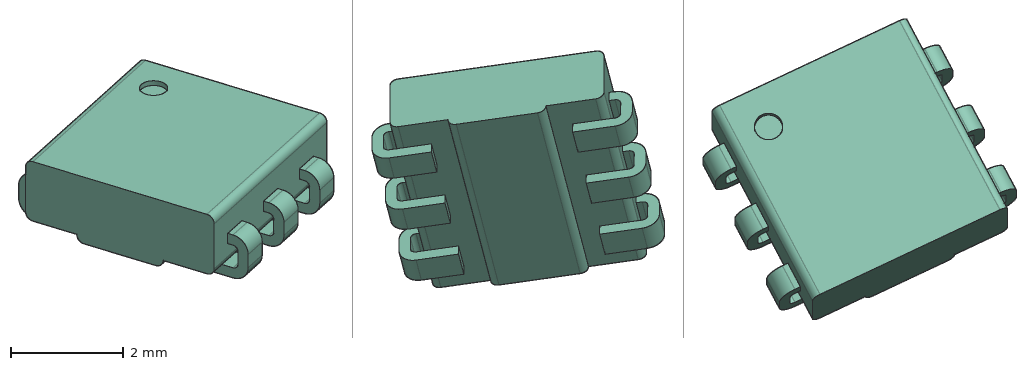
import cadquery as cq

overall_width = 4.72
overall_height = 1.5

housing_width = 3.88
housing_length = 4.0
housing_base = 0.26
edge_radius = 0.15

rail_width = 1.775
rail_height = edge_radius

mark_diameter = 0.5
mark_depth = 0.1
mark_inset = 0.75

leads_per_side = 3
lead_pitch = 1.27
lead_width = 0.5
lead_thickness = 0.212
lead_top = 0.895
inner_bend_radius = 0.1
outer_bend_radius = inner_bend_radius + lead_thickness
foot_length = 1.08


def make_rail():
    """Full-length rail that hangs below the housing, rounded along its lower edges."""
    half_width = rail_width / 2
    half_floor = half_width - rail_height
    rail_base = housing_base - rail_height
    return (
        cq.Workplane("XZ", origin=(0, housing_length / 2, 0))
        .moveTo(-half_width, housing_base)
        .radiusArc((-half_floor, rail_base), -rail_height)
        .lineTo(half_floor, rail_base)
        .radiusArc((half_width, housing_base), -rail_height)
        .close()
        .extrude(housing_length)
    )


def make_housing():
    """Block with rounded long edges, a rail below and the pin-one mark on top."""
    block = (
        cq.Workplane("XY", origin=(0, 0, housing_base))
        .box(housing_width, housing_length, overall_height - housing_base, centered=(True, True, False))
        .edges("|Y")
        .fillet(edge_radius)
    )
    mark_x = mark_inset - housing_width / 2
    mark_y = housing_length / 2 - mark_inset
    mark = (
        cq.Workplane("XY", origin=(mark_x, mark_y, overall_height - mark_depth))
        .circle(mark_diameter / 2)
        .extrude(mark_depth)
    )
    return block.union(make_rail()).cut(mark)


def make_left_lead(center_y):
    """C-shaped lead from the left housing face, bent down and back under the housing."""
    outer_x = -overall_width / 2
    inner_x = outer_x + lead_thickness
    bend_x = outer_x + outer_bend_radius
    root_x = -housing_width / 2
    foot_x = outer_x + foot_length
    upper_bend_z = lead_top - outer_bend_radius
    lower_bend_z = outer_bend_radius
    return (
        cq.Workplane("XZ", origin=(0, center_y + lead_width / 2, 0))
        .moveTo(root_x, lead_top)
        .lineTo(bend_x, lead_top)
        .radiusArc((outer_x, upper_bend_z), -outer_bend_radius)
        .lineTo(outer_x, lower_bend_z)
        .radiusArc((bend_x, 0), -outer_bend_radius)
        .lineTo(foot_x, 0)
        .lineTo(foot_x, lead_thickness)
        .lineTo(bend_x, lead_thickness)
        .radiusArc((inner_x, lower_bend_z), inner_bend_radius)
        .lineTo(inner_x, upper_bend_z)
        .radiusArc((bend_x, lead_top - lead_thickness), inner_bend_radius)
        .lineTo(root_x, lead_top - lead_thickness)
        .close()
        .extrude(lead_width)
    )


housing = make_housing()

leads = []
for index in range(leads_per_side):
    center_y = (index - (leads_per_side - 1) / 2) * lead_pitch
    left_lead = make_left_lead(center_y)
    right_lead = left_lead.mirror("YZ")
    leads += [left_lead.val(), right_lead.val()]

result = cq.Compound.makeCompound([housing.val(), *leads])